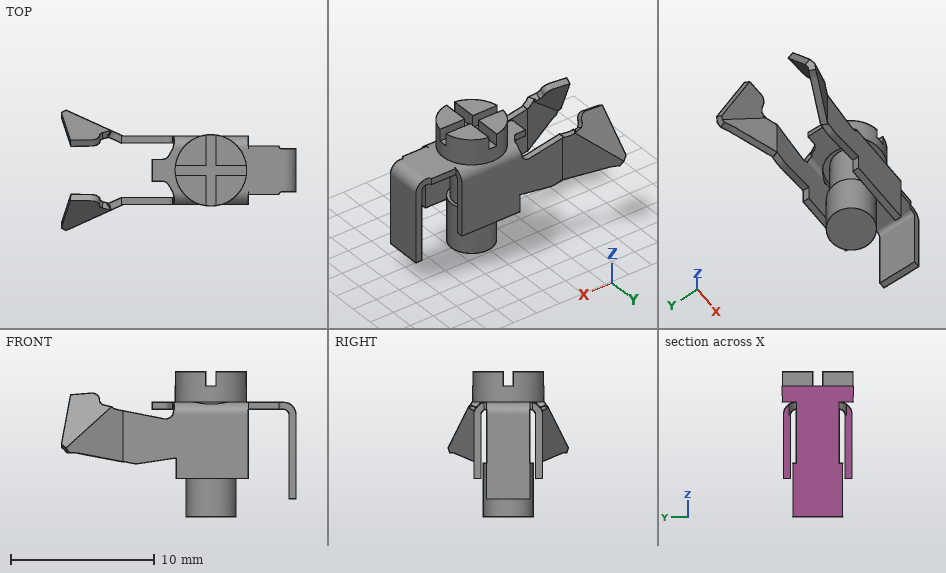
import cadquery as cq
import math


sheet = 0.5
bend_outer = 0.89
bend_inner = bend_outer - sheet
diagonal = math.sqrt(0.5)

head_diameter = 5.0
head_radius = head_diameter / 2
head_height = 2.13
slot_width = 0.69
slot_depth = 1.0
shank_radius = 1.5
collar_radius = 1.75
collar_top = -4.26
screw_bottom = -8.01

bracket_width = 4.8
wall_outer = bracket_width / 2
wall_front = -2.43
wall_back = 2.62
wall_bottom = -5.35
bend_start = wall_outer - bend_outer

tongue_tip = -4.1
tongue_half = 0.77
tongue_fillet = 0.5
tongue_straight_end = -3.4
flare_angle = math.radians(60)
screw_hole_radius = 2.0
neck_front = -2.67
notch_depth = 0.11
tail_half = 1.7

tab_half = 1.5
tab_outer = 5.95
tab_bend_start = tab_outer - bend_outer
tab_bottom = -6.75
tab_step = tail_half - tab_half
tail_end = 4.75

splay_angle = math.radians(24.4)
splay_x = -6.13
splay_top = -0.59
splay_bottom = -4.15
arm_root_top = (-3.4, -1.13)
arm_root_arc = (-2.95, -1.11)
arm_low_point = (-5.25, -4.33)
arm_low_fillet = 1.48
arm_root_bottom = -3.9
bend_overlap = sheet * math.tan(splay_angle / 2)

fold_top = (-6.93, -0.31)
fold_bottom = (-10.11, -3.2)
panel_hollow_middle = (-6.77, -0.43)
panel_hollow_end = (-6.59, -0.49)
panel_low_x = -9.3
panel_low_z = -3.54

tip_peak = (-9.8, 0.52)
tip_peak_y = 2.1
tip_round_start = (-8.4, 0.64)
tip_round_middle = (-7.98, 0.54)
tip_round_end = (-7.79, 0.26)
tip_hollow_middle = (-7.74, 0.02)
tip_hollow_end = (-7.57, -0.16)
tip_front_x = -10.44


def box(x_range, y_range, z_range):
    """Block spanning the given ranges."""
    size = [high - low for low, high in (x_range, y_range, z_range)]
    corner = cq.Vector(x_range[0], y_range[0], z_range[0])
    return cq.Workplane("XY").box(*size, centered=False).translate(corner)


def quarter_bend(plane, centre_along, length):
    """Quarter ring from the top of a bend to its outer side, extruded along the plane normal."""
    centre_z = -bend_outer
    return (
        cq.Workplane(plane)
        .moveTo(centre_along, 0)
        .threePointArc(
            (centre_along + bend_outer * diagonal, centre_z + bend_outer * diagonal),
            (centre_along + bend_outer, centre_z),
        )
        .lineTo(centre_along + bend_inner, centre_z)
        .threePointArc(
            (centre_along + bend_inner * diagonal, centre_z + bend_inner * diagonal),
            (centre_along, -sheet),
        )
        .close()
        .extrude(length)
    )


def make_screw():
    """Cross-slotted head, shank and the thicker collar at its lower end."""
    head = cq.Workplane("XY").circle(head_radius).extrude(head_height)
    slot_floor = head_height - slot_depth
    half_slot = slot_width / 2
    for x_half, y_half in ((head_radius, half_slot), (half_slot, head_radius)):
        head = head.cut(box((-x_half, x_half), (-y_half, y_half), (slot_floor, head_height)))
    shank = cq.Workplane("XY").circle(shank_radius).extrude(collar_top)
    collar = (
        cq.Workplane("XY").workplane(offset=screw_bottom)
        .circle(collar_radius).extrude(collar_top - screw_bottom)
    )
    return head.union(shank).union(collar)


def make_plate():
    """Half of the flat top with its narrow tongue, flared neck and stepped tail."""
    def fillet_point(angle):
        return (
            tongue_straight_end + tongue_fillet * math.sin(angle),
            tongue_half + tongue_fillet * (1 - math.cos(angle)),
        )

    step_reach = tab_step * diagonal
    return (
        cq.Workplane("XY")
        .moveTo(tongue_tip, 0)
        .lineTo(tongue_tip, tongue_half)
        .lineTo(tongue_straight_end, tongue_half)
        .threePointArc(fillet_point(flare_angle / 2), fillet_point(flare_angle))
        .lineTo(neck_front, bend_start)
        .lineTo(wall_back, bend_start)
        .lineTo(wall_back, tail_half)
        .lineTo(tail_end, tail_half)
        .threePointArc(
            (tail_end + tab_step - step_reach, tail_half - step_reach),
            (tail_end + tab_step, tab_half),
        )
        .lineTo(tab_bend_start, tab_half)
        .lineTo(tab_bend_start, 0)
        .close()
        .extrude(-sheet)
    )


def make_tab():
    """Half of the tab bent down at the tail."""
    bend = quarter_bend("XZ", tab_bend_start, -tab_half)
    leg = box((tab_outer - sheet, tab_outer), (0, tab_half), (tab_bottom, -bend_outer))
    return bend.union(leg)


def make_wall_bend():
    """Bend from the plate to the wall, with the rounded notch at its arm end."""
    bend = quarter_bend("YZ", bend_start, wall_back - neck_front)
    bend = bend.translate((neck_front, 0, 0))
    bend_middle = cq.Plane(
        origin=(neck_front, wall_outer - bend_outer / 2, -bend_outer / 2),
        xDir=(1, 0, 0),
        normal=(0, 1, 1),
    )
    half_chord = bend_outer * diagonal
    notch = (
        cq.Workplane(bend_middle)
        .moveTo(0, -half_chord)
        .threePointArc((notch_depth, 0), (0, half_chord))
        .close()
        .extrude(bend_outer, both=True)
    )
    return bend.cut(notch)


def make_wall():
    """Side wall together with the straight root of its arm."""
    arm_end = splay_x - bend_overlap
    top_slope = (arm_root_top[1] - splay_top) / (arm_root_top[0] - splay_x)
    low_slope = (arm_low_point[1] - splay_bottom) / (arm_low_point[0] - splay_x)
    wall = (
        cq.Workplane("XZ", origin=(0, wall_outer, 0))
        .moveTo(arm_end, splay_top - top_slope * bend_overlap)
        .lineTo(*arm_root_top)
        .threePointArc(arm_root_arc, (neck_front, -bend_outer))
        .lineTo(wall_back, -bend_outer)
        .lineTo(wall_back, wall_bottom)
        .lineTo(wall_front, wall_bottom)
        .lineTo(wall_front, arm_root_bottom)
        .lineTo(*arm_low_point)
        .lineTo(arm_end, splay_bottom - low_slope * bend_overlap)
        .close()
        .extrude(sheet)
    )
    low_corner = cq.selectors.NearestToPointSelector(
        (arm_low_point[0], wall_outer - sheet / 2, arm_low_point[1])
    )
    return wall.edges("|Y").edges(low_corner).fillet(arm_low_fillet)


def on_splayed_face(point):
    """Point of the splayed panel's outer face at a given (X, Z)."""
    x, z = point
    return cq.Vector(x, wall_outer + (splay_x - x) * math.tan(splay_angle), z)


def make_arm_end():
    """Splayed panel and the leaning tip folded from it, ending square to the fold line."""
    top = on_splayed_face(fold_top)
    bottom = on_splayed_face(fold_bottom)
    fold = (bottom - top).normalized()
    peak = cq.Vector(tip_peak[0], tip_peak_y, tip_peak[1])
    panel_normal = cq.Vector(math.sin(splay_angle), math.cos(splay_angle), 0)
    tip_normal = fold.cross(peak - top).normalized()
    panel_plane = cq.Plane(origin=top, xDir=fold, normal=panel_normal)
    tip_plane = cq.Plane(origin=top, xDir=fold, normal=tip_normal)

    def in_panel(point):
        return panel_plane.toLocalCoords(on_splayed_face(point)).toTuple()[:2]

    def in_tip(point):
        x, z = point
        along_normal = tip_normal.x * (x - top.x) + tip_normal.z * (z - top.z)
        on_face = cq.Vector(x, top.y - along_normal / tip_normal.y, z)
        return tip_plane.toLocalCoords(on_face).toTuple()[:2]

    down_panel = fold.cross(panel_normal)
    panel_corner = bottom + down_panel * ((panel_low_z - bottom.z) / down_panel.z)
    up_tip = tip_normal.cross(fold)
    tip_corner = bottom + up_tip * ((tip_front_x - bottom.x) / up_tip.x)

    top_slope = (splay_top - panel_hollow_end[1]) / (splay_x - panel_hollow_end[0])
    low_slope = (splay_bottom - panel_low_z) / (splay_x - panel_low_x)
    panel_start = splay_x + bend_overlap
    panel = (
        cq.Workplane(panel_plane)
        .moveTo(*in_panel((panel_start, splay_top + top_slope * bend_overlap)))
        .lineTo(*in_panel(panel_hollow_end))
        .threePointArc(in_panel(panel_hollow_middle), in_panel(fold_top))
        .lineTo(*in_panel(fold_bottom))
        .lineTo(*panel_plane.toLocalCoords(panel_corner).toTuple()[:2])
        .lineTo(*in_panel((panel_low_x, panel_low_z)))
        .lineTo(*in_panel((panel_start, splay_bottom + low_slope * bend_overlap)))
        .close()
        .extrude(-sheet)
    )

    tip = (
        cq.Workplane(tip_plane)
        .moveTo(*in_tip(fold_top))
        .lineTo(*in_tip(fold_bottom))
        .lineTo(*tip_plane.toLocalCoords(tip_corner).toTuple()[:2])
        .lineTo(*in_tip(tip_peak))
        .lineTo(*in_tip(tip_round_start))
        .threePointArc(in_tip(tip_round_middle), in_tip(tip_round_end))
        .threePointArc(in_tip(tip_hollow_middle), in_tip(tip_hollow_end))
        .close()
        .extrude(-sheet)
    )
    return panel.union(tip)


half_bracket = make_plate()
for piece in (make_tab(), make_wall_bend(), make_wall(), make_arm_end()):
    half_bracket = half_bracket.union(piece)

bracket = half_bracket.union(half_bracket.mirror("XZ"))
screw_hole = cq.Workplane("XY").circle(screw_hole_radius).extrude(-bend_outer)
bracket = bracket.cut(screw_hole)
result = bracket.union(make_screw()).clean()